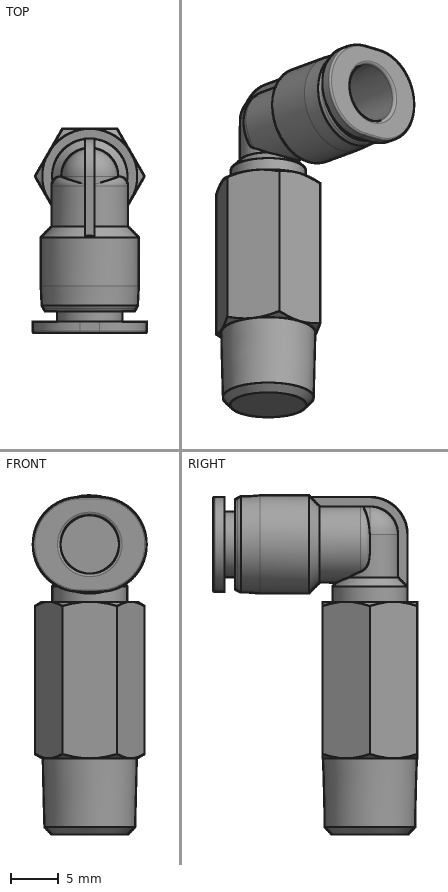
import cadquery as cq
import math

thread_tip_radius = 4.0
thread_chamfer_radius = 4.8
thread_top_radius = 4.95
thread_chamfer_height = 0.82
hex_bottom = 8.05
hex_top = 24.5
hex_across_flats = 10.0
hex_corner_diameter = hex_across_flats / math.cos(math.radians(30))
hex_chamfer_angle = 30.0

collar_radius = 3.95
collar_top = 26.1
column_radius = 3.0
collar_cone_top = collar_top + collar_radius - column_radius

overall_height = 35.7
body_radius = 5.18
arm_axis_z = overall_height - body_radius
arm_radius = 4.05
arm_end_fillet = 1.0
arm_length = 5.3
body_start = arm_length + body_radius - arm_radius
taper_start = 11.53
taper_end = 13.55
taper_end_radius = 5.07
rim_round_radius = 4.9
rim_round_end = 13.92
body_end = 14.2
body_end_radius = 4.7
neck_radius = 3.45
dome_center_z = arm_axis_z + arm_radius - column_radius

flange_front = 16.5
flange_thickness = 1.2
flange_width = 12.0
flange_height = 10.0
flange_edge_round = 0.2
bore_radius = 3.07
bore_mouth_round = 0.32
bore_depth = 6.43

rib_thickness = 1.0
rib_outer_radius = 3.95


def revolve_profile(points):
    """Revolve (radius, axial position) points about the vertical axis."""
    return cq.Workplane("XZ").polyline(points).close().revolve(360, (0, 0, 0), (0, 1, 0))


def lay_along_arm(solid):
    """Turn a solid from +Z toward -Y and lift it to the arm axis."""
    return solid.rotate((0, 0, 0), (1, 0, 0), 90).translate((0, 0, arm_axis_z))


def make_thread():
    return revolve_profile([
        (0, 0),
        (thread_tip_radius, 0),
        (thread_chamfer_radius, thread_chamfer_height),
        (thread_top_radius, hex_bottom),
        (0, hex_bottom),
    ])


def make_hexagon():
    """Hexagon with its corners on X and both ends chamfered."""
    flat_radius = hex_across_flats / 2
    corner_radius = hex_corner_diameter / 2
    drop = (corner_radius - flat_radius) * math.tan(math.radians(hex_chamfer_angle))
    prism = (
        cq.Workplane("XY").workplane(offset=hex_bottom)
        .polygon(6, hex_corner_diameter)
        .extrude(hex_top - hex_bottom)
    )
    envelope = revolve_profile([
        (0, hex_bottom),
        (flat_radius, hex_bottom),
        (corner_radius, hex_bottom + drop),
        (corner_radius, hex_top - drop),
        (flat_radius, hex_top),
        (0, hex_top),
    ])
    return prism.intersect(envelope)


def make_column():
    """Collar, coned shoulder and round column closed by a dome."""
    dome_middle = column_radius * math.sqrt(0.5)
    return (
        cq.Workplane("XZ")
        .moveTo(0, hex_top)
        .lineTo(collar_radius, hex_top)
        .lineTo(collar_radius, collar_top)
        .lineTo(column_radius, collar_cone_top)
        .lineTo(column_radius, dome_center_z)
        .threePointArc((dome_middle, dome_center_z + dome_middle), (0, dome_center_z + column_radius))
        .close()
        .revolve(360, (0, 0, 0), (0, 1, 0))
    )


def make_elbow_bridge():
    """Short round bar carrying the dome forward into the arm's rounded end."""
    return (
        cq.Workplane("XZ", origin=(0, 0, dome_center_z))
        .circle(column_radius)
        .extrude(arm_end_fillet)
    )


def make_arm():
    """Arm, socket body and neck, with a rounded inner end."""
    fillet_middle = arm_end_fillet * math.sqrt(0.5)
    fillet_center_radius = arm_radius - arm_end_fillet
    arm = (
        cq.Workplane("XZ")
        .lineTo(fillet_center_radius, 0)
        .threePointArc(
            (fillet_center_radius + fillet_middle, arm_end_fillet - fillet_middle),
            (arm_radius, arm_end_fillet),
        )
        .lineTo(arm_radius, arm_length)
        .lineTo(body_radius, body_start)
        .lineTo(body_radius, taper_start)
        .lineTo(taper_end_radius, taper_end)
        .lineTo(rim_round_radius, rim_round_end)
        .lineTo(body_end_radius, body_end)
        .lineTo(neck_radius, body_end)
        .lineTo(neck_radius, flange_front - flange_thickness)
        .lineTo(0, flange_front - flange_thickness)
        .close()
        .revolve(360, (0, 0, 0), (0, 1, 0))
    )
    return lay_along_arm(arm)


def make_flange():
    flange = (
        cq.Workplane("XY").workplane(offset=flange_front - flange_thickness)
        .slot2D(flange_width, flange_height)
        .extrude(flange_thickness)
        .faces(">Z").fillet(flange_edge_round)
    )
    return lay_along_arm(flange)


def make_bore():
    """Blind tube socket with a rounded mouth."""
    round_rise = bore_mouth_round * math.sqrt(0.5)
    mouth_radius = bore_radius + bore_mouth_round
    round_start = flange_front - bore_mouth_round
    bore = (
        cq.Workplane("XZ")
        .moveTo(0, flange_front - bore_depth)
        .lineTo(bore_radius, flange_front - bore_depth)
        .lineTo(bore_radius, round_start)
        .threePointArc((mouth_radius - round_rise, round_start + round_rise), (mouth_radius, flange_front))
        .lineTo(0, flange_front)
        .close()
        .revolve(360, (0, 0, 0), (0, 1, 0))
    )
    return lay_along_arm(bore)


def make_rib():
    """Flat rib rising from the hexagon and curving over into the body cone."""
    arc_middle = rib_outer_radius * math.sqrt(0.5)
    return (
        cq.Workplane("YZ")
        .moveTo(0, hex_top)
        .lineTo(rib_outer_radius, hex_top)
        .lineTo(rib_outer_radius, dome_center_z)
        .threePointArc((arc_middle, dome_center_z + arc_middle), (0, dome_center_z + rib_outer_radius))
        .lineTo(-body_start, dome_center_z + rib_outer_radius)
        .lineTo(-body_start, arm_axis_z)
        .lineTo(0, arm_axis_z)
        .close()
        .extrude(rib_thickness / 2, both=True)
    )


result = (
    make_thread()
    .union(make_hexagon())
    .union(make_column())
    .union(make_elbow_bridge())
    .union(make_arm())
    .union(make_flange())
    .union(make_rib())
    .cut(make_bore())
)